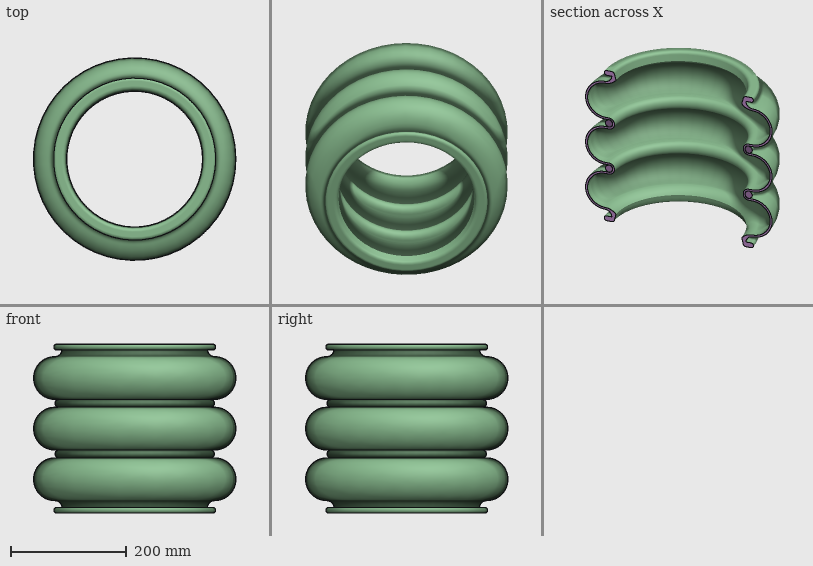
import cadquery as cq
import math

total_height = 292.0
outer_radius = 175.0
convolution_count = 3
convolution_pitch = 87.5
wall = 4.5
hoop_wire_radius = 6.5
hoop_ring_radius = 131.2
bead_height = 10.0
bead_outer_radius = 140.0
neck_outer_radius = 126.0
lip_bore_radius = 120.0
lip_depth = 4.5
throat_radius = 117.2
throat_depth = 16.0

half_height = total_height / 2
crown_radius = convolution_pitch / 2 - hoop_wire_radius
crown_bore_radius = crown_radius - wall
crown_ring_radius = outer_radius - crown_radius
groove_bore_radius = hoop_wire_radius + wall
bead_edge_radius = bead_height / 2
bead_flat_radius = bead_outer_radius - bead_edge_radius
bead_inner_z = half_height - bead_height
lip_z = half_height - lip_depth
throat_z = half_height - throat_depth
first_crown_z = -(convolution_count - 1) / 2 * convolution_pitch
crown_heights = [first_crown_z + i * convolution_pitch for i in range(convolution_count)]
hoop_heights = [z + convolution_pitch / 2 for z in crown_heights[:-1]]
top_crown_z = crown_heights[-1]


def horizontal_arc_middle(start, end):
    """Mid point of an arc that leaves start horizontally and passes through end."""
    run = abs(end[0] - start[0])
    rise = abs(end[1] - start[1])
    radius = (run**2 + rise**2) / (2 * rise)
    half_turn = math.atan2(rise, run)
    return (
        start[0] + math.copysign(radius * math.sin(half_turn), end[0] - start[0]),
        start[1] + math.copysign(radius * (1 - math.cos(half_turn)), end[1] - start[1]),
    )


def revolve_about_z(profile):
    """Close a profile drawn in the XZ plane and turn it about the Z axis."""
    return profile.close().revolve(360, (0, 0), (0, 1))


def wall_side(profile, crown_arc_radius, groove_arc_radius):
    """Trace one side of the wall upward through all convolutions and hoop grooves."""
    for z in crown_heights:
        profile = profile.threePointArc(
            (crown_ring_radius + crown_arc_radius, z),
            (crown_ring_radius, z + crown_arc_radius),
        )
        if z != top_crown_z:
            groove_z = z + convolution_pitch / 2
            profile = (
                profile.lineTo(hoop_ring_radius, groove_z - groove_arc_radius)
                .threePointArc(
                    (hoop_ring_radius - groove_arc_radius, groove_z),
                    (hoop_ring_radius, groove_z + groove_arc_radius),
                )
                .lineTo(crown_ring_radius, groove_z + groove_arc_radius)
            )
    return profile


def make_filled_shape(crown_arc_radius, groove_arc_radius, neck_radius, neck_z):
    """Solid of revolution bounded by one side of the wall, from neck to neck."""
    crown_top = (crown_ring_radius, top_crown_z + crown_arc_radius)
    flare_middle = horizontal_arc_middle(crown_top, (neck_radius, neck_z))
    profile = (
        cq.Workplane("XZ")
        .moveTo(0, -neck_z)
        .lineTo(neck_radius, -neck_z)
        .threePointArc((flare_middle[0], -flare_middle[1]), (crown_top[0], -crown_top[1]))
    )
    profile = wall_side(profile, crown_arc_radius, groove_arc_radius)
    profile = profile.threePointArc(flare_middle, (neck_radius, neck_z)).lineTo(0, neck_z)
    return revolve_about_z(profile)


def make_bead():
    """Mounting rim at the top end with a round outer edge, still without its bore."""
    profile = (
        cq.Workplane("XZ")
        .moveTo(0, bead_inner_z)
        .lineTo(bead_flat_radius, bead_inner_z)
        .threePointArc(
            (bead_outer_radius, half_height - bead_edge_radius),
            (bead_flat_radius, half_height),
        )
        .lineTo(0, half_height)
    )
    return revolve_about_z(profile)


def make_end_bore():
    """Opening at the top end: a rounded lip followed by a tapered seat."""
    lip_start = (neck_outer_radius, half_height)
    lip_end = (lip_bore_radius, lip_z)
    profile = (
        cq.Workplane("XZ")
        .moveTo(0, half_height)
        .lineTo(*lip_start)
        .threePointArc(horizontal_arc_middle(lip_start, lip_end), lip_end)
        .lineTo(throat_radius, throat_z)
        .lineTo(0, throat_z)
    )
    return revolve_about_z(profile)


def make_bellows():
    """Hollow convoluted tube with a bead at each end."""
    outside = make_filled_shape(crown_radius, hoop_wire_radius, neck_outer_radius, bead_inner_z)
    cavity = make_filled_shape(crown_bore_radius, groove_bore_radius, throat_radius, throat_z)
    bead = make_bead()
    end_bore = make_end_bore()
    body = outside.union(bead).union(bead.mirror("XY"))
    return body.cut(cavity).cut(end_bore).cut(end_bore.mirror("XY")).solids()


def make_hoop(z):
    """Girdle hoop of round wire seated between two convolutions."""
    wire_section = cq.Workplane("XZ").center(hoop_ring_radius, z).circle(hoop_wire_radius)
    return wire_section.revolve(360, (-hoop_ring_radius, 0), (-hoop_ring_radius, 1))


bellows = make_bellows()
hoops = [make_hoop(z) for z in hoop_heights]

result = cq.Compound.makeCompound([bellows.val(), *[hoop.val() for hoop in hoops]])